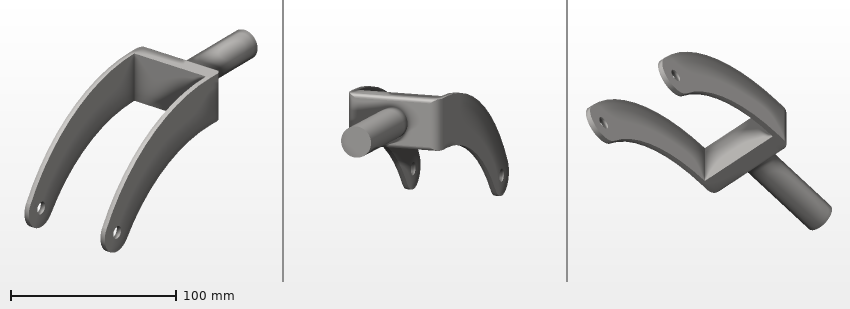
import cadquery as cq
import math

length = 184.1
width = 60.4
height = 79.4
stem_length = 63.5
stem_diameter = 19.3
crown_depth = 12.7
crown_height = 31.9
crown_corner_radius = 6.3
crown_edge_radius = 2.4
arm_thickness = 3.3
eye_radius = 12.7
eye_hole_diameter = 8.1

crown_top = crown_height / 2
crown_bottom = -crown_top
arm_root_y = -crown_depth
eye_y = stem_length - length + eye_radius
eye_z = crown_top - height + eye_radius


def arm_edge(root_z, side):
    """Middle and end points of an edge arc that leaves the crown level and meets the eye tangentially.

    side is +1 for the upper edge (eye inside the arc), -1 for the lower edge (eye outside it).
    """
    reach = arm_root_y - eye_y
    drop = root_z - eye_z
    offset = side * eye_radius
    radius = (reach**2 + drop**2 - eye_radius**2) / (2 * (drop - offset))
    sweep = math.asin(reach / (radius - offset))

    def point_at(angle):
        return (
            arm_root_y - radius * math.sin(angle),
            root_z - radius * (1 - math.cos(angle)),
        )

    return point_at(sweep / 2), point_at(sweep)


def make_crown():
    block = cq.Workplane("XY").box(width, crown_depth, crown_height)
    block = block.translate((0, -crown_depth / 2, 0))
    round_corners = block.edges("|Z and >Y").fillet(crown_corner_radius)
    round_edges = block.edges("|X and >Y").fillet(crown_edge_radius)
    return round_corners.intersect(round_edges)


def make_stem():
    stem = cq.Workplane("XZ", origin=(0, stem_length, 0)).circle(stem_diameter / 2)
    return stem.extrude(stem_length + crown_depth)


def make_arm(start_x):
    upper_middle, upper_end = arm_edge(crown_top, 1)
    lower_middle, lower_end = arm_edge(crown_bottom, -1)
    tip_angle = math.radians(-45)
    eye_tip = (
        eye_y + eye_radius * math.sin(tip_angle),
        eye_z - eye_radius * math.cos(tip_angle),
    )
    arm = (
        cq.Workplane("YZ", origin=(start_x, 0, 0))
        .moveTo(arm_root_y, crown_top)
        .threePointArc(upper_middle, upper_end)
        .threePointArc(eye_tip, lower_end)
        .threePointArc(lower_middle, (arm_root_y, crown_bottom))
        .close()
        .extrude(arm_thickness)
    )
    hole = (
        cq.Workplane("YZ", origin=(start_x, eye_y, eye_z))
        .circle(eye_hole_diameter / 2)
        .extrude(arm_thickness)
    )
    return arm.cut(hole)


result = make_crown().union(make_stem())
for arm_start_x in (-width / 2, width / 2 - arm_thickness):
    result = result.union(make_arm(arm_start_x))